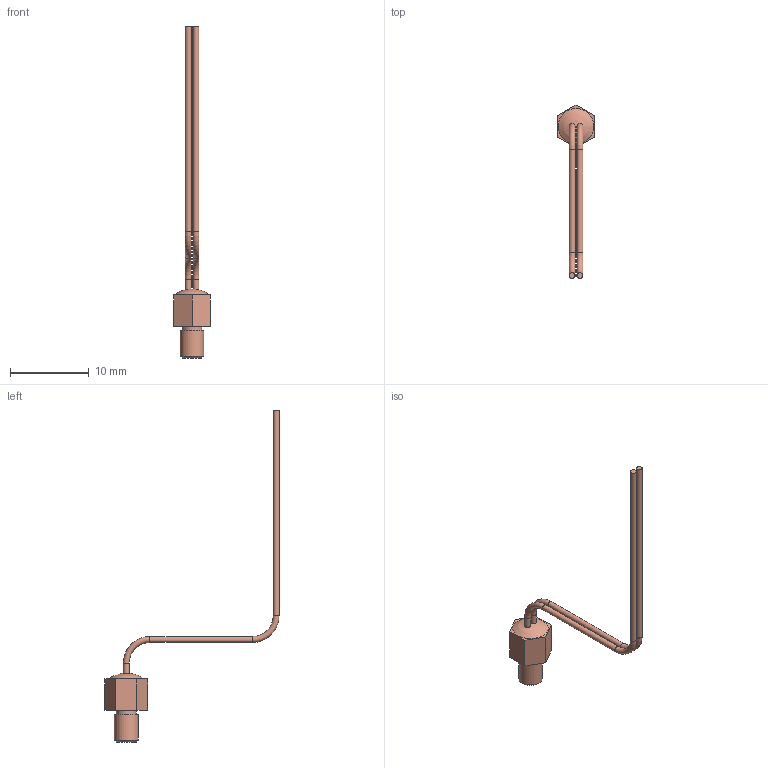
import cadquery as cq
import math

stud_diameter = 3.0
neck_diameter = 2.5
neck_length = 0.5
stud_chamfer = (stud_diameter - neck_diameter) / 2

hex_across_flats = 4.68
hex_across_corners = hex_across_flats * 2 / math.sqrt(3)
hex_bottom = 4.0
hex_height = 4.0
hex_top = hex_bottom + hex_height

dome_diameter = 4.5
dome_height = 0.75

wire_diameter = 0.75
wire_spacing = 1.0
wire_reach = 19.0
bend_radius = 3.0
first_bend_start = 10.0
wire_top = 42.11


def make_stud():
    stud_length = hex_bottom - neck_length
    stud = cq.Workplane("XY").circle(stud_diameter / 2).extrude(stud_length)
    stud = stud.faces("<Z").chamfer(stud_chamfer)
    neck = cq.Workplane("XY").circle(neck_diameter / 2).extrude(hex_bottom)
    return stud.union(neck)


def make_hex_body():
    return (
        cq.Workplane("XY", origin=(0, 0, hex_bottom))
        .transformed(rotate=(0, 0, 90))
        .polygon(6, hex_across_corners)
        .extrude(hex_height)
    )


def make_dome():
    """Revolve a circular-segment profile about Z to form the spherical cap."""
    dome_radius = dome_diameter / 2
    sphere_radius = (dome_radius**2 + dome_height**2) / (2 * dome_height)
    sphere_center = hex_top + dome_height - sphere_radius
    half_angle = math.asin(dome_radius / sphere_radius) / 2
    arc_middle = (
        sphere_radius * math.sin(half_angle),
        sphere_center + sphere_radius * math.cos(half_angle),
    )
    return (
        cq.Workplane("XZ")
        .moveTo(0, hex_top)
        .lineTo(dome_radius, hex_top)
        .threePointArc(arc_middle, (0, hex_top + dome_height))
        .close()
        .revolve(360, (0, 0), (0, 1))
    )


def make_wire(x):
    """Sweep one wire, rooted in the hex body, along its double bend at the given X."""
    run_height = first_bend_start + bend_radius
    second_bend_end = run_height + bend_radius
    bend_inset = bend_radius * (1 - math.sqrt(0.5))
    path = (
        cq.Workplane("YZ", origin=(x, 0, 0))
        .moveTo(0, hex_top)
        .lineTo(0, first_bend_start)
        .threePointArc((-bend_inset, run_height - bend_inset), (-bend_radius, run_height))
        .lineTo(bend_radius - wire_reach, run_height)
        .threePointArc((bend_inset - wire_reach, run_height + bend_inset), (-wire_reach, second_bend_end))
        .lineTo(-wire_reach, wire_top)
    )
    return cq.Workplane("XY", origin=(x, 0, hex_top)).circle(wire_diameter / 2).sweep(path)


result = make_stud().union(make_hex_body()).union(make_dome())
for side in (-1, 1):
    result = result.union(make_wire(side * wire_spacing / 2))